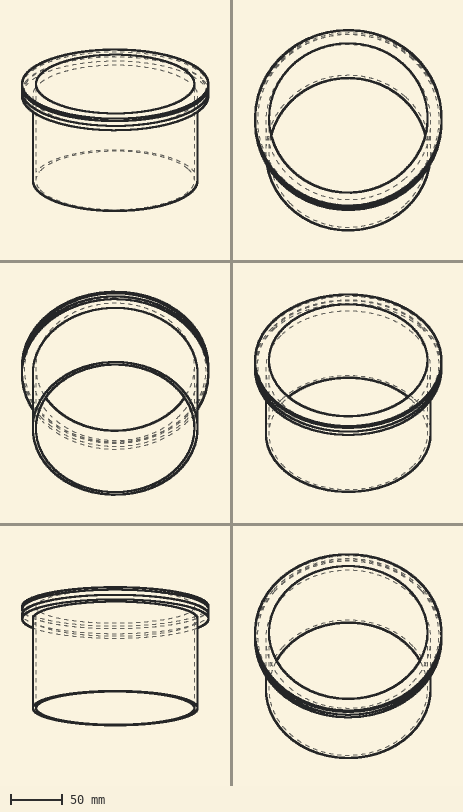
import cadquery as cq

flange_diameter = 180.0
tube_diameter = 159.1
bore_diameter = 152.8
total_height = 100.0

flange_thickness = 12.0
groove_radius = 2.5
groove_center_below_top = 5.0


def cylinder(diameter, bottom, height):
    """Upright cylinder centred on the Z axis."""
    return cq.Workplane("XY").workplane(offset=bottom).circle(diameter / 2).extrude(height)


def rim_groove():
    """Ring of circular section, centred on the flange rim."""
    return (
        cq.Workplane("XZ")
        .center(flange_diameter / 2, total_height - groove_center_below_top)
        .circle(groove_radius)
        .revolve(360, (-flange_diameter / 2, 0), (-flange_diameter / 2, 1))
    )


tube = cylinder(tube_diameter, 0, total_height)
flange = cylinder(flange_diameter, total_height - flange_thickness, flange_thickness)
bore = cylinder(bore_diameter, 0, total_height)

result = tube.union(flange).cut(bore).cut(rim_groove())